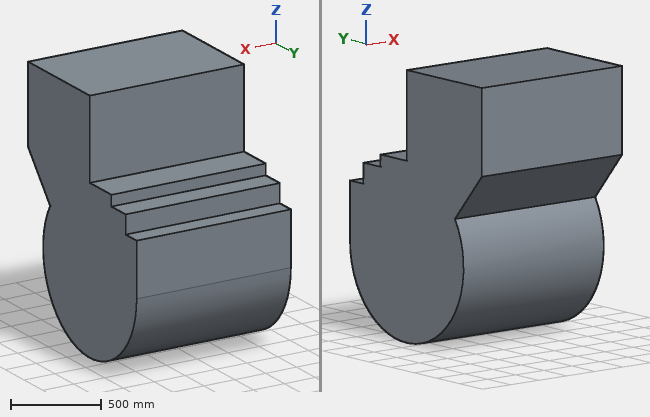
import cadquery as cq
import math

width = 1000.0
depth = 1160.0
height = 1540.0

drum_radius = width / 2
drum_bottom = -drum_radius
back = drum_radius

box_front = back - depth
box_back = 0.0
box_top = drum_bottom + height
box_height = 500.0
box_bottom = box_top - box_height

neck_z = 265.0
neck_y = -math.sqrt(drum_radius**2 - neck_z**2)

low_step_z = 340.0
middle_step_y = 382.0
middle_step_z = 459.0
high_step_y = 231.0
high_step_z = 528.0

result = (
    cq.Workplane("YZ")
    .moveTo(back, 0)
    .lineTo(back, low_step_z)
    .lineTo(middle_step_y, low_step_z)
    .lineTo(middle_step_y, middle_step_z)
    .lineTo(high_step_y, middle_step_z)
    .lineTo(high_step_y, high_step_z)
    .lineTo(box_back, high_step_z)
    .lineTo(box_back, box_top)
    .lineTo(box_front, box_top)
    .lineTo(box_front, box_bottom)
    .lineTo(neck_y, neck_z)
    .threePointArc((0, drum_bottom), (back, 0))
    .close()
    .extrude(width / 2, both=True)
)